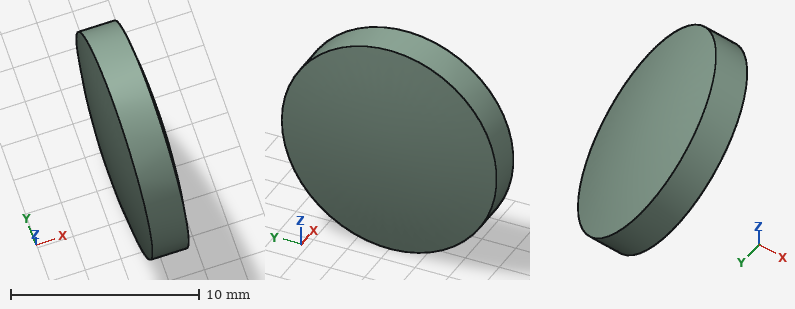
import cadquery as cq

diameter = 12.7
center_thickness = 3.2
rim_width = 2.03

radius = diameter / 2
half_rim = rim_width / 2
half_thickness = center_thickness / 2
dome_height = half_thickness - half_rim

sphere_radius = (radius**2 + dome_height**2) / (2 * dome_height)
sphere_center = half_thickness - sphere_radius
mid_radius = radius / 2
mid_x = sphere_center + (sphere_radius**2 - mid_radius**2) ** 0.5

half_section = (
    cq.Workplane("XY")
    .moveTo(-half_thickness, 0)
    .threePointArc((-mid_x, mid_radius), (-half_rim, radius))
    .lineTo(half_rim, radius)
    .threePointArc((mid_x, mid_radius), (half_thickness, 0))
    .close()
)
result = half_section.revolve(360, (0, 0, 0), (1, 0, 0))